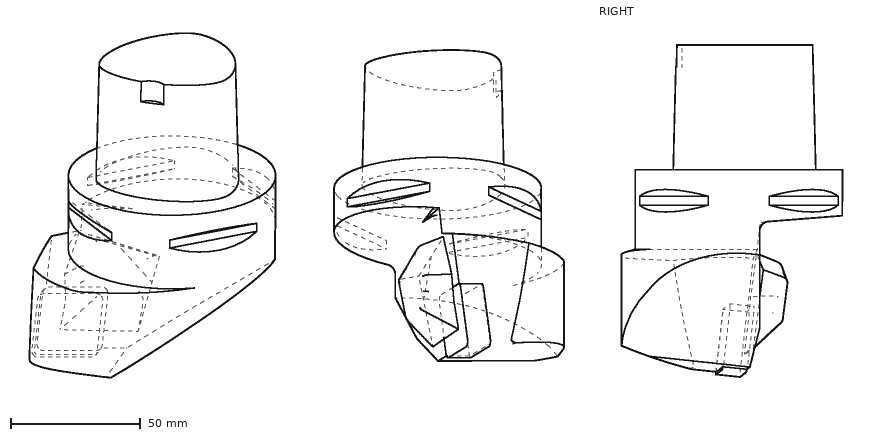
import cadquery as cq
import math


SHANK_LENGTH = 48.0
SHANK_RADIUS = 27.5
LOBE_HEIGHT = 2.2
LOBE_ANGLES = (0, 120, 240)
SHANK_TAPER = 1 / 40
SEAM_ANGLE = 34.0
SPLINE_STEPS = 8
KEYWAY_RADIUS = 6.4
KEYWAY_BOTTOM_Y = -22.0
KEYWAY_LENGTH = 8.3

FLANGE_RADIUS = 80.0 / 2
GRIPPER_CHORD = 35.3
GRIPPER_Z = -12.0
GRIPPER_ANGLES = (45, 135, 225, 315)
GRIPPER_FLAT = 3.3
GRIPPER_WIDTH = 8.7

HEAD_BOTTOM = -80.0
LEDGE_Z = -30.7
LEDGE_ANGLE = 16.7
PART_DEPTH = 85.2
FRONT_Y = FLANGE_RADIUS - PART_DEPTH
FRONT_FLAT_START = -19.0
FRONT_FLAT_END = -12.9
CORNER_END = (-27.1, -43.4)
FLANK_END = (-55.0, -9.0)
NECK_BLEND = (20.7, -34.2)
NECK_BLEND_RADIUS = 56.3

WALL_Y = 8.0
SHELF_Z = -20.4
SHELF_ANGLE = 4.5
SHELF_FILLET = 3.5

TILT = math.tan(math.radians(6))
TIP = (-55.3, 0.1, -80.2)
INSERT_SIDE = 25.9
LEAD_ANGLE = 5.0
INSERT_CORNER = 90 - 2 * LEAD_ANGLE
INSERT_THICKNESS = 9.3
NOSE_RADIUS = 2.4
INSERT_OVERHANG = 1.0

UNDERSIDE_SLOPE = 36.2
UNDERSIDE_LEAN = 1.0
UNDERSIDE_TOP_Z = -32.3
HEEL_RADIUS = 204.8
HEEL_START = (FRONT_Y, -68.0)
HEEL_START_ANGLE = 22.5

DEFLECTOR_FOOT = [(-39.7, -32), (-44.8, -48.6), (-44.2, -58.9), (-46.1, -71.0), (-15.4, -69.1), (-7.7, -38.4)]
DEFLECTOR_CROWN = [(-35.6, -35.2), (-39.9, -47.4), (-39.4, -53.1), (-33.3, -58.9), (-15.4, -57.0), (-11.5, -41)]
DEFLECTOR_HEIGHT = 10.6
DEFLECTOR_ROUND = 3.6

BIG = 256.0

RAKE = cq.Plane(origin=TIP, xDir=(1, TILT, 0), normal=(TILT, -1, TILT))

LEAN = math.radians(LEAD_ANGLE)
SIDE_EDGE = cq.Vector(math.sin(LEAN), math.cos(LEAN))
BOTTOM_EDGE = cq.Vector(math.cos(LEAN), math.sin(LEAN))


def lobe_point(mean_radius, degrees, z):
    """Point on the three-lobed polygon; degrees are counted from the lobe on +Y."""
    a = math.radians(degrees)
    along = mean_radius * math.cos(a) + LOBE_HEIGHT * (2 * math.cos(2 * a) - math.cos(4 * a))
    across = mean_radius * math.sin(a) - LOBE_HEIGHT * (2 * math.sin(2 * a) + math.sin(4 * a))
    return cq.Vector(-across, along, z)


def polygon_wire(mean_radius, z):
    seams = []
    for lobe in LOBE_ANGLES:
        seams += [lobe - SEAM_ANGLE, lobe + SEAM_ANGLE]
    seams.append(seams[0] + 360)
    edges = []
    for start, end in zip(seams, seams[1:]):
        angles = [start + (end - start) * i / SPLINE_STEPS for i in range(SPLINE_STEPS + 1)]
        edges.append(cq.Edge.makeSpline([lobe_point(mean_radius, a, z) for a in angles]))
    return cq.Wire.assembleEdges(edges)


def make_shank():
    bottom = polygon_wire(SHANK_RADIUS, 0)
    top = polygon_wire(SHANK_RADIUS - SHANK_LENGTH * SHANK_TAPER, SHANK_LENGTH)
    shank = cq.Workplane(cq.Solid.makeLoft([bottom, top], True))
    keyway = (
        cq.Workplane("XY", origin=(0, KEYWAY_BOTTOM_Y - KEYWAY_RADIUS, SHANK_LENGTH - KEYWAY_LENGTH))
        .circle(KEYWAY_RADIUS)
        .extrude(KEYWAY_LENGTH)
    )
    return shank.cut(keyway)


def make_neck():
    return cq.Workplane("XY").circle(FLANGE_RADIUS).extrude(HEAD_BOTTOM)


def gripper_slot(angle):
    return (
        cq.Workplane("XZ", origin=(0, 0, GRIPPER_Z))
        .moveTo(GRIPPER_CHORD, GRIPPER_FLAT / 2)
        .lineTo(FLANGE_RADIUS, GRIPPER_WIDTH / 2)
        .lineTo(FLANGE_RADIUS, -GRIPPER_WIDTH / 2)
        .lineTo(GRIPPER_CHORD, -GRIPPER_FLAT / 2)
        .close()
        .extrude(FLANGE_RADIUS, both=True)
        .rotate((0, 0, 0), (0, 0, 1), angle)
    )


def make_head():
    blend_center = (FRONT_FLAT_END, FRONT_Y + NECK_BLEND_RADIUS)
    half_turn = math.asin((NECK_BLEND[0] - blend_center[0]) / NECK_BLEND_RADIUS) / 2
    blend_middle = (
        blend_center[0] + NECK_BLEND_RADIUS * math.sin(half_turn),
        blend_center[1] - NECK_BLEND_RADIUS * math.cos(half_turn),
    )
    outline = (
        cq.Workplane("XY", origin=(0, 0, HEAD_BOTTOM))
        .moveTo(*NECK_BLEND)
        .threePointArc(blend_middle, (FRONT_FLAT_END, FRONT_Y))
        .lineTo(FRONT_FLAT_START, FRONT_Y)
        .tangentArcPoint(CORNER_END, relative=False)
        .tangentArcPoint(FLANK_END, relative=False)
        .lineTo(FLANK_END[0], 2 * WALL_Y)
        .lineTo(0, 2 * WALL_Y)
        .close()
        .extrude(-HEAD_BOTTOM)
    )
    reach = 2 * FLANGE_RADIUS
    drop = (reach - FLANGE_RADIUS) * math.tan(math.radians(LEDGE_ANGLE))
    ledge = (
        cq.Workplane("XZ")
        .moveTo(0, HEAD_BOTTOM)
        .lineTo(reach, HEAD_BOTTOM)
        .lineTo(reach, LEDGE_Z - drop)
        .lineTo(FLANGE_RADIUS, LEDGE_Z)
        .lineTo(0, LEDGE_Z)
        .close()
        .revolve(360, (0, 0, 0), (0, 1, 0))
    )
    return outline.intersect(ledge)


def chip_space():
    """Space above the rake face and behind the vertical wall, below the flange shelf."""
    rise = BIG * math.tan(math.radians(SHELF_ANGLE))
    behind_wall = (
        cq.Workplane("YZ", origin=(-BIG / 2, 0, 0))
        .moveTo(WALL_Y, -BIG)
        .lineTo(WALL_Y, SHELF_Z)
        .lineTo(WALL_Y + BIG, SHELF_Z + rise)
        .lineTo(WALL_Y + BIG, -BIG)
        .close()
        .extrude(BIG)
        .edges("|X")
        .edges(cq.selectors.NearestToPointSelector((0, WALL_Y, SHELF_Z)))
        .fillet(SHELF_FILLET)
    )
    above_rake = cq.Workplane(RAKE).rect(BIG, BIG).extrude(-BIG)
    below_shelf = cq.Workplane("XY", origin=(0, 0, SHELF_Z)).rect(BIG, BIG).extrude(-BIG)
    return behind_wall.union(above_rake.intersect(below_shelf))


def edge_reliefs():
    """Clearance beside and below the insert, parallel to its two cutting edges."""
    corner = (SIDE_EDGE + BOTTOM_EDGE) * (INSERT_OVERHANG / math.sin(math.radians(INSERT_CORNER)))
    side_end = corner + SIDE_EDGE * BIG
    bottom_end = corner + BOTTOM_EDGE * BIG
    kept = (
        cq.Workplane(RAKE)
        .moveTo(corner.x, corner.y)
        .lineTo(side_end.x, side_end.y)
        .lineTo(bottom_end.x, bottom_end.y)
        .close()
        .extrude(BIG, both=True)
        .edges(cq.selectors.ParallelDirSelector(RAKE.zDir))
        .edges(cq.selectors.NearestToPointSelector(TIP))
        .fillet(NOSE_RADIUS - INSERT_OVERHANG)
    )
    return cq.Workplane("XY").box(BIG, BIG, BIG).cut(kept)


def heel_relief():
    """Round clearance under the front of the head, with its axis along X."""
    a = math.radians(HEEL_START_ANGLE)
    center_y = HEEL_START[0] + HEEL_RADIUS * math.sin(a)
    center_z = HEEL_START[1] + HEEL_RADIUS * math.cos(a)
    block = (
        cq.Workplane("YZ", origin=(-BIG / 2, 0, 0))
        .moveTo(center_y - HEEL_RADIUS, center_z)
        .lineTo(center_y - HEEL_RADIUS, center_z - 2 * HEEL_RADIUS)
        .lineTo(center_y, center_z - 2 * HEEL_RADIUS)
        .lineTo(center_y, center_z)
        .close()
        .extrude(BIG)
    )
    drum = cq.Workplane("YZ", origin=(-BIG / 2, center_y, center_z)).circle(HEEL_RADIUS).extrude(BIG)
    return block.cut(drum)


def underside_cut():
    fall = BIG * math.tan(math.radians(UNDERSIDE_SLOPE))
    return (
        cq.Workplane("XZ")
        .moveTo(FLANGE_RADIUS, UNDERSIDE_TOP_Z)
        .lineTo(FLANGE_RADIUS - BIG, UNDERSIDE_TOP_Z - fall)
        .lineTo(FLANGE_RADIUS, UNDERSIDE_TOP_Z - fall)
        .close()
        .extrude(BIG / 2, both=True)
        .rotate((0, 0, UNDERSIDE_TOP_Z), (1, 0, UNDERSIDE_TOP_Z), -UNDERSIDE_LEAN)
    )


def make_deflector():
    """Raised wedge with slanting sides and a rounded crown."""
    foot = [(x - TIP[0], z - TIP[2]) for x, z in DEFLECTOR_FOOT]
    crown = [(x - TIP[0], z - TIP[2]) for x, z in DEFLECTOR_CROWN]
    return (
        cq.Workplane(RAKE)
        .polyline(foot)
        .close()
        .workplane(offset=-DEFLECTOR_HEIGHT)
        .polyline(crown)
        .close()
        .loft(ruled=True)
        .faces(cq.selectors.DirectionNthSelector(-RAKE.zDir, -1))
        .edges()
        .fillet(DEFLECTOR_ROUND)
    )


def make_insert():
    side = SIDE_EDGE * INSERT_SIDE
    bottom = BOTTOM_EDGE * INSERT_SIDE
    far = side + bottom
    return (
        cq.Workplane(RAKE)
        .polyline([(0, 0), (bottom.x, bottom.y), (far.x, far.y), (side.x, side.y)])
        .close()
        .extrude(INSERT_THICKNESS)
        .edges(cq.selectors.ParallelDirSelector(RAKE.zDir))
        .fillet(NOSE_RADIUS)
    )


insert = make_insert()

holder = make_neck().union(make_head())
for head_cut in (underside_cut(), edge_reliefs(), heel_relief(), chip_space()):
    holder = holder.cut(head_cut)
for slot_angle in GRIPPER_ANGLES:
    holder = holder.cut(gripper_slot(slot_angle))
holder = holder.union(make_shank()).union(make_deflector()).cut(insert)

result = cq.Compound.makeCompound([holder.val(), insert.val()])